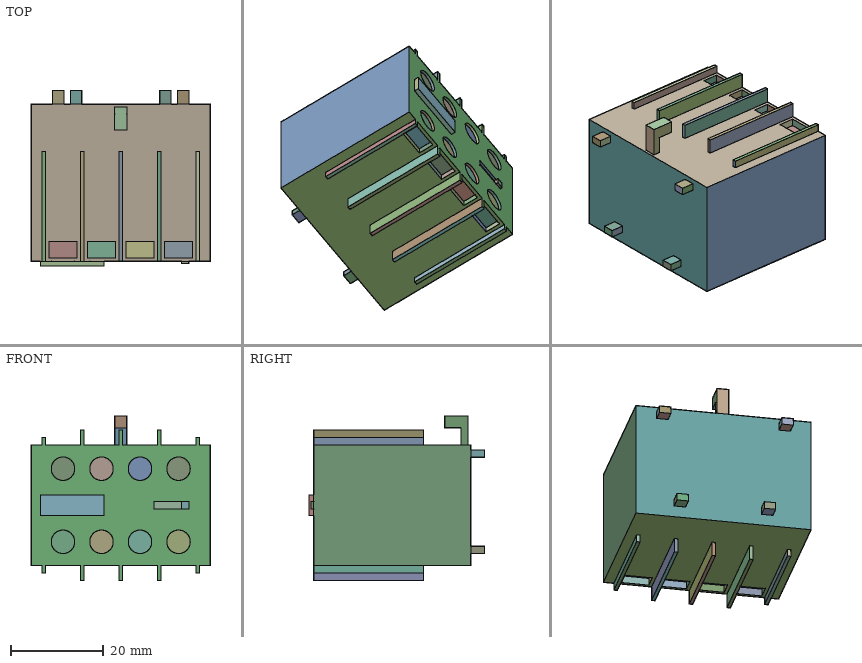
import cadquery as cq

body_width = 38.8
body_depth = 34.05
body_height = 26.1
body_top = body_height / 2

rib_pitch = 8.35
rib_thickness = 0.78
rib_length = 23.8
inner_rib_height = 3.25
outer_rib_height = inner_rib_height / 2
rib_numbers = (-2, -1, 0, 1, 2)

terminal_columns = (-1.5, -0.5, 0.5, 1.5)
screw_hole_diameter = 5.1
screw_hole_depth = 0.62
screw_row_offset = 7.9
wire_pocket_width = 6.05
wire_pocket_length = 3.55
wire_pocket_depth = 1.63
wire_pocket_inset = 0.78

label_width = 13.8
label_height = 4.5
label_thickness = 1.0
label_inset = 1.98

slot_width = 7.55
slot_height = 1.65
slot_depth = 0.5
slot_inset = 4.65
slider_width = 1.6
slider_projection = 0.5

hook_width = 2.6
hook_height = 6.32
hook_reach = 5.1
hook_arm_height = 2.6
hook_post_thickness = 1.6
hook_inset = 0.6

peg_width = 2.52
peg_height = 1.6
peg_length = 3.0
upper_peg_offset = 13.55
lower_peg_offset = 9.65
upper_peg_inset = 1.1
lower_peg_inset = 2.6


def block(x_range, y_range, z_range):
    """Box spanning the given (low, high) ranges."""
    lows, highs = zip(x_range, y_range, z_range)
    sizes = [high - low for low, high in zip(lows, highs)]
    return cq.Workplane("XY").box(*sizes, centered=False).translate(lows)


def span(centre, size):
    """Range of the given size around a centre."""
    return (centre - size / 2, centre + size / 2)


def rib(number):
    """Rib pair running through the body, standing out at the top and bottom."""
    height = outer_rib_height if abs(number) == max(rib_numbers) else inner_rib_height
    return block(
        span(number * rib_pitch, rib_thickness),
        (0, rib_length),
        span(0, body_height + 2 * height),
    )


def screw_hole(column, z):
    """Shallow round recess in the front face."""
    return (
        cq.Workplane("XZ", origin=(column * rib_pitch, 0, z))
        .circle(screw_hole_diameter / 2)
        .extrude(-screw_hole_depth)
    )


def wire_pocket(column, side):
    """Rectangular pocket in the top (side = 1) or bottom (side = -1) face."""
    return block(
        span(column * rib_pitch, wire_pocket_width),
        (wire_pocket_inset, wire_pocket_inset + wire_pocket_length),
        sorted((side * body_top, side * (body_top - wire_pocket_depth))),
    )


def label_plate():
    """Thin plate standing out from the front face near its left edge."""
    left = label_inset - body_width / 2
    return block((left, left + label_width), (-label_thickness, 0), span(0, label_height))


def hook():
    """Post with an arm reaching forward over the top face."""
    back = body_depth - hook_inset
    top = body_top + hook_height
    x_range = span(0, hook_width)
    post = block(x_range, (back - hook_post_thickness, back), (body_top, top))
    arm = block(x_range, (back - hook_reach, back), (top - hook_arm_height, top))
    return post.union(arm)


def peg(x, bottom):
    """Mounting peg on the back face, centred on x."""
    return block(
        span(x, peg_width),
        (body_depth, body_depth + peg_length),
        (bottom, bottom + peg_height),
    )


result = block(span(0, body_width), (0, body_depth), span(0, body_height))

for rib_number in rib_numbers:
    result = result.union(rib(rib_number))

for terminal_column in terminal_columns:
    for face_side in (1, -1):
        result = result.cut(screw_hole(terminal_column, face_side * screw_row_offset))
        result = result.cut(wire_pocket(terminal_column, face_side))

slot_right = body_width / 2 - slot_inset
slot_z = span(0, slot_height)
slot = block((slot_right - slot_width, slot_right), (0, slot_depth), slot_z)
slider = block((slot_right - slider_width, slot_right), (-slider_projection, slot_depth), slot_z)
result = result.cut(slot).union(slider)

result = result.union(label_plate()).union(hook())

upper_peg_bottom = body_top - upper_peg_inset - peg_height
lower_peg_bottom = lower_peg_inset - body_top
for x_side in (1, -1):
    result = result.union(peg(x_side * upper_peg_offset, upper_peg_bottom))
    result = result.union(peg(x_side * lower_peg_offset, lower_peg_bottom))